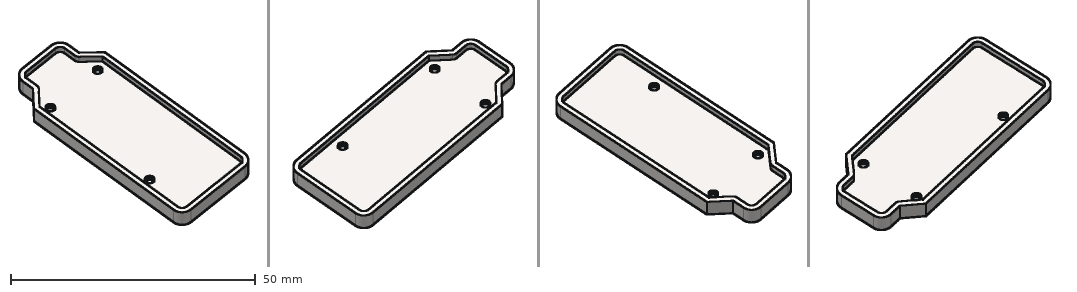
import cadquery as cq

length = 51.1
width = 21.0
height = 4.0

wall = 1.2
floor = 2.4
corner_radius = 2.5

neck_width = 13.55
neck_length = 5.35
shoulder_length = 3.85

hole_diameter = 2.0
head_diameter = 3.8
recess_depth = 1.7
cone_height = (head_diameter - hole_diameter) / 2
head_bore_depth = recess_depth - cone_height
hole_y = 7.0
left_hole_x = -15.1
right_hole_x = 12.95
hole_centers = [
    (left_hole_x, hole_y),
    (left_hole_x, -hole_y),
    (right_hole_x, -hole_y),
]


def make_body():
    """Solid block with the tray outline and rounded end corners."""
    left = -length / 2
    right = length / 2
    neck_end = left + neck_length
    body_start = neck_end + shoulder_length
    outline = [
        (left, -neck_width / 2),
        (neck_end, -neck_width / 2),
        (body_start, -width / 2),
        (right, -width / 2),
        (right, width / 2),
        (body_start, width / 2),
        (neck_end, neck_width / 2),
        (left, neck_width / 2),
    ]
    block = cq.Workplane("XY").polyline(outline).close().extrude(height)
    for end_face in ("<X", ">X"):
        block = block.faces(end_face).edges("|Z").fillet(corner_radius)
    return block


def cut_cavity(body):
    """Sink an open pocket that leaves an even wall around the outline."""
    return body.faces(">Z").wires().toPending().offset2D(-wall).cutBlind(-(height - floor))


def cut_screw_holes(tray):
    """Cut each hole with a conical seat and a straight bore for the screw head."""
    hole_radius = hole_diameter / 2
    head_radius = head_diameter / 2
    half_profile = [
        (0, 0),
        (head_radius, 0),
        (head_radius, head_bore_depth),
        (hole_radius, recess_depth),
        (hole_radius, height),
        (0, height),
    ]
    cutter = cq.Workplane("XZ").polyline(half_profile).close().revolve(360, (0, 0), (0, 1))
    for x, y in hole_centers:
        tray = tray.cut(cutter.translate((x, y, 0)))
    return tray


result = cut_screw_holes(cut_cavity(make_body()))